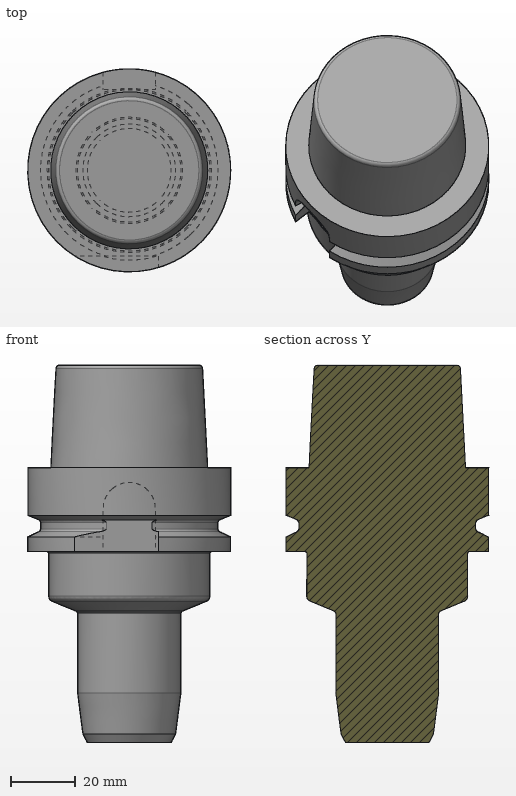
import cadquery as cq

total_height = 117.0
collar_top = 85.2
collar_bottom = 70.4
groove_top = 68.8
groove_bottom = 65.6
flange_top = 63.8
flange_bottom = 59.2
body_bottom = 44.2
shank_top = 40.7
nose_top = 15.5
nose_chamfer_top = 2.7

collar_radius = 63.0 / 2
groove_radius = 27.5
body_radius = 50.0 / 2
shank_radius = 32.0 / 2
nose_radius = 14.4
nose_end_radius = 13.0
taper_base_radius = 24.3
taper_top_radius = 22.7

taper_edge_fillet = 1.2
body_edge_fillet = 1.8
groove_fillet = 0.9
root_chamfer = 0.5

flat_distance = 26.6
flat_end_x = 9.0
flat_top = 68.9

slot_radius = 8.1
slot_top = 80.6
slot_floor_distance = 25.0


def make_turned_body():
    """Revolve the complete half profile around Z."""
    profile = (
        cq.Workplane("XZ")
        .moveTo(0, 0)
        .lineTo(nose_end_radius, 0)
        .lineTo(nose_radius, nose_chamfer_top)
        .lineTo(shank_radius, nose_top)
        .lineTo(shank_radius, shank_top - root_chamfer)
        .lineTo(shank_radius + root_chamfer, shank_top)
        .lineTo(body_radius, body_bottom)
        .lineTo(body_radius, flange_bottom - root_chamfer)
        .lineTo(body_radius + root_chamfer, flange_bottom)
        .lineTo(collar_radius, flange_bottom)
        .lineTo(collar_radius, flange_top)
        .lineTo(groove_radius, groove_bottom)
        .lineTo(groove_radius, groove_top)
        .lineTo(collar_radius, collar_bottom)
        .lineTo(collar_radius, collar_top)
        .lineTo(taper_base_radius, collar_top)
        .lineTo(taper_top_radius, total_height)
        .lineTo(0, total_height)
        .close()
    )
    return profile.revolve(360, (0, 0, 0), (0, 1, 0))


def circle_edge(body, radius, height):
    """Select the circular edge of a given radius at a given height."""
    margin = 0.06
    half = radius + margin
    box = cq.selectors.BoxSelector(
        (-half, -half, height - margin), (half, half, height + margin), boundingbox=True
    )
    return body.edges(box)


def round_edges(body):
    body = circle_edge(body, taper_top_radius, total_height).fillet(taper_edge_fillet)
    body = circle_edge(body, body_radius, body_bottom).fillet(body_edge_fillet)
    for height in (groove_bottom, groove_top):
        body = circle_edge(body, groove_radius, height).fillet(groove_fillet)
    return body


def make_flat_cutter():
    """Block that removes the flange outside the flat, up into the collar chamfer."""
    return cq.Workplane("XY").box(
        collar_radius + flat_end_x,
        collar_radius - flat_distance,
        flat_top - flange_bottom,
        centered=False,
    ).translate((-collar_radius, -collar_radius, flange_bottom))


def make_slot_cutter():
    """Slot open at the flange underside with a half-round upper end."""
    arc_height = slot_top - slot_radius
    return (
        cq.Workplane("XZ", origin=(0, slot_floor_distance, 0))
        .moveTo(-slot_radius, flange_bottom)
        .lineTo(slot_radius, flange_bottom)
        .lineTo(slot_radius, arc_height)
        .threePointArc((0, slot_top), (-slot_radius, arc_height))
        .close()
        .extrude(slot_floor_distance - collar_radius)
    )


turned_body = round_edges(make_turned_body())
result = turned_body.cut(make_flat_cutter()).cut(make_slot_cutter())